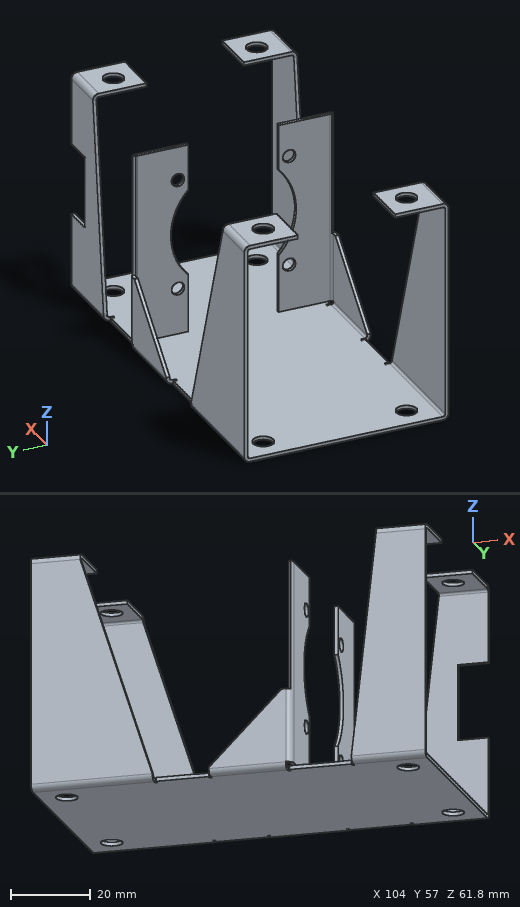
import cadquery as cq

sheet = 1.0
bend_outer = 1.7
bend_inner = bend_outer - sheet

length = 104.0
width = 57.0
height = 61.8
half_length = length / 2
half_width = width / 2
floor_edge = half_width - bend_outer

tab_length = 13.0
tab_inner_y = 13.5
rear_leg_foot = 32.0
front_leg_foot = 19.5

mount_hole_diameter = 5.5
mount_hole_x = 45.0
mount_hole_y = 20.0

notch_depth = 8.0
notch_bottom = 21.5
notch_height = 20.0

gusset_start_x = -5.1
gusset_top = 21.0
gusset_slope_bottom = 2.0
gusset_slope_end_x = 14.0
plate_face_x = 16.8
plate_inner_y = 12.6
plate_bottom = bend_outer
gusset_foot_end_x = plate_face_x - bend_outer
plate_top = 55.0
motor_axis_z = 30.1
motor_bore_diameter = 34.9
motor_screw_diameter = 3.5
motor_screw_offset = 15.5

relief_width = 0.5
relief_depth = 1.0


def block(x, y, z):
    """Box spanning the given (low, high) pairs."""
    size = (x[1] - x[0], y[1] - y[0], z[1] - z[0])
    return cq.Workplane("XY").box(*size, centered=False).translate((x[0], y[0], z[0]))


def side_profile(points):
    """Outline in XZ extruded over the whole width."""
    return cq.Workplane("XZ").polyline(points).close().extrude(half_width, both=True)


def bent_channel():
    """Square tube with rounded bends, open along the middle of its top."""
    outer = block((-half_length, half_length), (-half_width, half_width), (0, height))
    outer = outer.edges("|X").fillet(bend_outer)
    inner = block(
        (-half_length, half_length),
        (-half_width + sheet, half_width - sheet),
        (sheet, height - sheet),
    )
    inner = inner.edges("|X").fillet(bend_inner)
    opening = block((-half_length, half_length), (-tab_inner_y, tab_inner_y), (height / 2, height))
    return outer.cut(inner).cut(opening)


def leg_outline(end, foot):
    """Leg side outline at the X end given by the sign of end."""
    edge = end * half_length
    tab_x = edge - end * tab_length
    foot_x = edge - end * foot
    return side_profile([
        (edge, 0),
        (edge, height),
        (tab_x, height),
        (tab_x, height - bend_outer),
        (foot_x, bend_outer),
        (foot_x, 0),
    ])


def gusset_wall():
    """Sloped gusset outline, ending where the plate bend starts."""
    return side_profile([
        (gusset_start_x, 0),
        (gusset_start_x, gusset_slope_bottom),
        (gusset_slope_end_x, gusset_top),
        (gusset_foot_end_x, gusset_top),
        (gusset_foot_end_x, 0),
    ])


def gusset_bend_band():
    """Space of the plate bends, up to the gusset top."""
    return block((gusset_foot_end_x, plate_face_x), (-half_width, half_width), (plate_bottom, gusset_top))


def plate_region():
    """Space of the full-height plates, whose ends are cut at 45 degrees halfway through the bend."""
    return (
        cq.Workplane("XY")
        .workplane(offset=plate_bottom)
        .polyline([
            (gusset_foot_end_x, -floor_edge),
            (plate_face_x, -half_width),
            (plate_face_x, half_width),
            (gusset_foot_end_x, floor_edge),
        ])
        .close()
        .extrude(plate_top - plate_bottom)
    )


def motor_plates():
    """Pair of plates bent inwards from the gussets, cut for the motor."""
    outer = block((gusset_start_x, plate_face_x), (-half_width, half_width), (plate_bottom, plate_top))
    outer = outer.edges("|Z and >X").fillet(bend_outer)
    inner = block(
        (gusset_start_x, plate_face_x - sheet),
        (-half_width + sheet, half_width - sheet),
        (plate_bottom, plate_top),
    )
    inner = inner.edges("|Z and >X").fillet(bend_inner)
    plates = outer.cut(inner)

    gap = block((gusset_start_x, plate_face_x), (-plate_inner_y, plate_inner_y), (plate_bottom, plate_top))
    bore = (
        cq.Workplane("YZ")
        .center(0, motor_axis_z)
        .circle(motor_bore_diameter / 2)
        .extrude(half_length)
    )
    screws = (
        cq.Workplane("YZ")
        .center(0, motor_axis_z)
        .rect(2 * motor_screw_offset, 2 * motor_screw_offset, forConstruction=True)
        .vertices()
        .circle(motor_screw_diameter / 2)
        .extrude(half_length)
    )
    return plates.cut(gap).cut(bore).cut(screws)


def relief_slits():
    """Slits cut into the floor beside each free flange end."""
    slit_starts = [
        rear_leg_foot - half_length,
        gusset_start_x - relief_width,
        gusset_foot_end_x,
        half_length - front_leg_foot - relief_width,
    ]
    slits = cq.Workplane("XY")
    for x in slit_starts:
        for y in (floor_edge - relief_depth, -floor_edge):
            slits = slits.add(block((x, x + relief_width), (y, y + relief_depth), (0, sheet)))
    return slits.combine()


def mount_holes():
    return (
        cq.Workplane("XY")
        .rect(2 * mount_hole_x, 2 * mount_hole_y, forConstruction=True)
        .vertices()
        .circle(mount_hole_diameter / 2)
        .extrude(height)
    )


channel = bent_channel()
floor = channel.intersect(block((-half_length, half_length), (-floor_edge, floor_edge), (0, sheet)))
rear_legs = channel.intersect(leg_outline(-1, rear_leg_foot))
front_legs = channel.intersect(leg_outline(1, front_leg_foot))

gussets = channel.intersect(gusset_wall())
plates = motor_plates()
gusset_bends = plates.intersect(gusset_bend_band())
full_plates = plates.intersect(plate_region())

cable_notch = block(
    (half_length - notch_depth, half_length),
    (floor_edge, half_width),
    (notch_bottom, notch_bottom + notch_height),
)

result = floor.union(rear_legs).union(front_legs)
result = result.union(gussets).union(gusset_bends).union(full_plates)
result = result.cut(relief_slits()).cut(mount_holes()).cut(cable_notch)